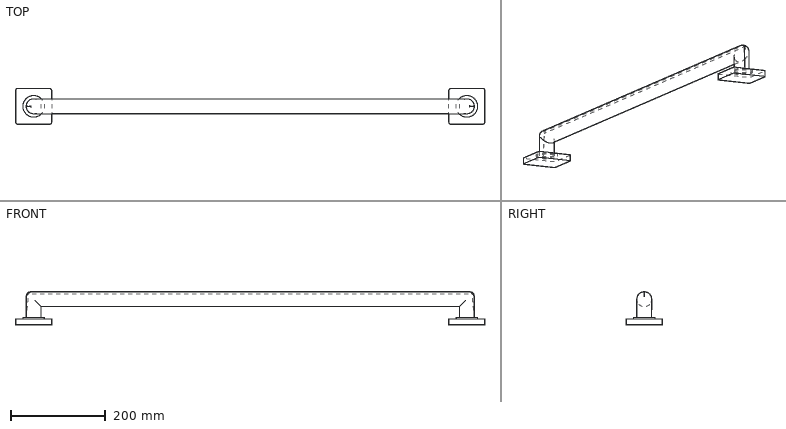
import cadquery as cq

total_length = 991.0
total_height = 70.0

plate_side = 76.0
plate_thickness = 13.0
plate_corner_radius = 5.0

collar_radius = 23.0
collar_height = 3.0

tube_radius = 16.0
elbow_radius = 10.0

post_offset = (total_length - plate_side) / 2
rail_height = total_height - tube_radius


def half_tube(bulge):
    """Half-round bar along both posts and the rail, with mitred corners.

    The flat runs along the tube axis; a negative bulge puts the round side
    outside the frame and a positive one inside it.
    """
    path = (
        cq.Workplane("XZ")
        .moveTo(-post_offset, plate_thickness)
        .lineTo(-post_offset, rail_height)
        .lineTo(post_offset, rail_height)
        .lineTo(post_offset, plate_thickness)
    )
    return (
        cq.Workplane("XY", origin=(-post_offset, 0, plate_thickness))
        .moveTo(0, -tube_radius)
        .threePointArc((bulge, 0), (0, tube_radius))
        .close()
        .sweep(path, transition="right")
    )


def rail_and_posts():
    """Rail and both posts, with the outer mitre edges rounded."""
    outer_half = half_tube(-tube_radius)
    for side in (-1, 1):
        elbow_tip = (side * (post_offset + tube_radius), 0, total_height)
        mitre_edge = cq.selectors.NearestToPointSelector(elbow_tip)
        outer_half = outer_half.edges(mitre_edge).fillet(elbow_radius)
    return outer_half.union(half_tube(tube_radius))


def mount(x):
    """Wall plate with its raised collar, centred at x."""
    plate = (
        cq.Workplane("XY", origin=(x, 0, 0))
        .rect(plate_side, plate_side)
        .extrude(plate_thickness)
        .edges("|Z")
        .fillet(plate_corner_radius)
    )
    collar = (
        cq.Workplane("XY", origin=(x, 0, plate_thickness))
        .circle(collar_radius)
        .extrude(collar_height)
    )
    return plate.union(collar)


result = rail_and_posts()
for x in (-post_offset, post_offset):
    result = result.union(mount(x))